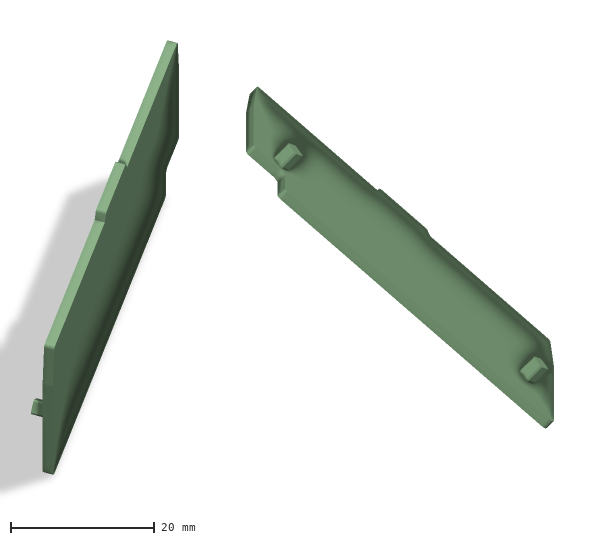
import cadquery as cq

length = 57.5
height = 30.8
thickness = 1.5
half_length = length / 2

tab_height = 1.55
tab_base_half_width = 5.05
tab_top_half_width = 4.5
shoulder_z = height - tab_height

taper_height = 8.05
taper_inset = 0.7
taper_start_z = shoulder_z - taper_height
shoulder_half_length = half_length - taper_inset

notch_size = 6.05
notch_y = half_length - notch_size

small_radius = 0.5
large_radius = 1.0

peg_length = 3.0
peg_width = 2.65
peg_flat = 0.35
peg_y = 23.5
peg_z = 8.1


def make_plate():
    """Extrude the plate outline toward +X from the face that carries the pegs."""
    outline = [
        (-half_length, 0),
        (notch_y, 0),
        (notch_y, notch_size),
        (half_length, notch_size),
        (half_length, taper_start_z),
        (shoulder_half_length, shoulder_z),
        (tab_base_half_width, shoulder_z),
        (tab_top_half_width, height),
        (-tab_top_half_width, height),
        (-tab_base_half_width, shoulder_z),
        (-shoulder_half_length, shoulder_z),
        (-half_length, taper_start_z),
    ]
    return cq.Workplane("YZ").polyline(outline).close().extrude(thickness)


def round_corners(plate, corners, radius):
    """Round the plate's X-direction edges that pass through the (y, z) corners."""
    for y, z in corners:
        corner_edge = cq.selectors.NearestToPointSelector((thickness / 2, y, z))
        plate = plate.edges("|X").edges(corner_edge).fillet(radius)
    return plate


def make_peg(y):
    """Extrude one peg toward -X from the plate face."""
    tip = peg_width / 2
    flat = peg_flat / 2
    section = [
        (tip, -flat), (tip, flat),
        (flat, tip), (-flat, tip),
        (-tip, flat), (-tip, -flat),
        (-flat, -tip), (flat, -tip),
    ]
    peg_plane = cq.Workplane("YZ", origin=(0, y, peg_z))
    return peg_plane.polyline(section).close().extrude(-peg_length)


small_corners = [
    (notch_y, 0),
    (half_length, notch_size),
    (shoulder_half_length, shoulder_z),
    (-shoulder_half_length, shoulder_z),
    (tab_top_half_width, height),
    (-tab_top_half_width, height),
]
large_corners = [
    (-half_length, 0),
    (notch_y, notch_size),
]

result = make_plate()
result = round_corners(result, small_corners, small_radius)
result = round_corners(result, large_corners, large_radius)
for side in (-1, 1):
    result = result.union(make_peg(side * peg_y))